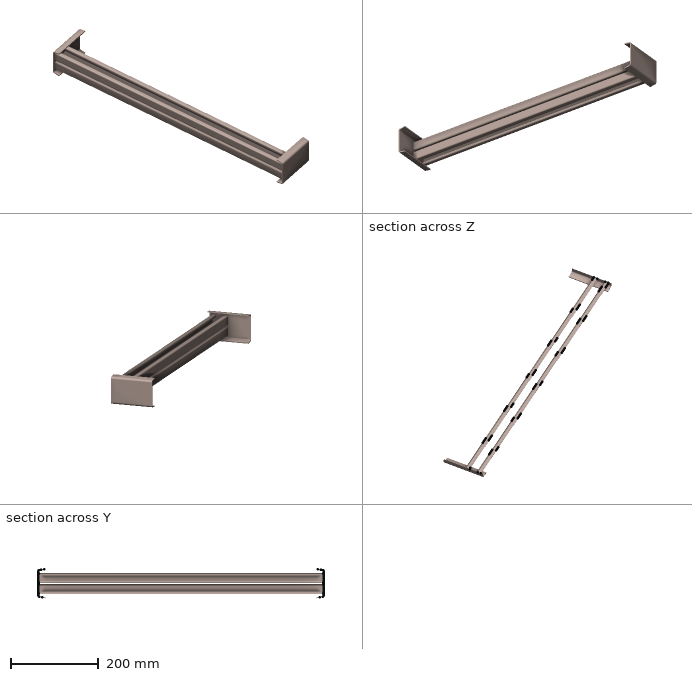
import cadquery as cq
import math

OVERALL_LENGTH = 654.0
OVERALL_HEIGHT = 68.0

BRACKET_WIDTH = 100.0
BRACKET_SHEET = 2.5
BRACKET_BEND = 5.0
BRACKET_REACH = 18.0
FLANGE_SPLAY = math.radians(9)

RAIL_LENGTH = OVERALL_LENGTH - 2 * BRACKET_SHEET
RAIL_WIDTH = 40.0
RAIL_DEPTH = 22.5
RAIL_SHEET = 2.0
RAIL_SLOT = 18.0
RAIL_LIP = 5.5
WEB_BEND = 4.0
LIP_BEND = 3.0

WEB_GAP = 3.0
RAIL_EDGE_GAP = 5.0
RAIL_CENTRE_Y = -BRACKET_WIDTH / 2 + RAIL_EDGE_GAP + RAIL_WIDTH / 2


def round_edge(body, point, radius):
    """Round the edge of the body whose middle is nearest to the point."""
    return body.edges(cq.selectors.NearestToPointSelector(point)).fillet(radius)


def make_upper_rail():
    """C channel above the middle plane, with its web at the bottom and its slot at the top."""
    web_bottom = WEB_GAP / 2
    web_top = web_bottom + RAIL_SHEET
    rim_top = web_bottom + RAIL_DEPTH
    rim_bottom = rim_top - RAIL_SHEET
    lip_end = rim_top - RAIL_LIP
    wall_outside = RAIL_WIDTH / 2
    wall_inside = wall_outside - RAIL_SHEET
    lip_near = RAIL_SLOT / 2
    lip_far = lip_near + RAIL_SHEET

    right_half = [
        (wall_outside, web_bottom),
        (wall_outside, rim_top),
        (lip_near, rim_top),
        (lip_near, lip_end),
        (lip_far, lip_end),
        (lip_far, rim_bottom),
        (wall_inside, rim_bottom),
        (wall_inside, web_top),
    ]
    left_half = [(-across, height) for across, height in reversed(right_half)]
    section = cq.Workplane("YZ", origin=(0, RAIL_CENTRE_Y, 0)).polyline(right_half + left_half).close()
    rail = section.extrude(RAIL_LENGTH / 2, both=True)

    bends = [
        (wall_outside, web_bottom, WEB_BEND),
        (wall_inside, web_top, WEB_BEND - RAIL_SHEET),
        (wall_outside, rim_top, LIP_BEND),
        (wall_inside, rim_bottom, LIP_BEND - RAIL_SHEET),
        (lip_near, rim_top, LIP_BEND),
        (lip_far, rim_bottom, LIP_BEND - RAIL_SHEET),
    ]
    for side in (-1, 1):
        for across, height, radius in bends:
            rail = round_edge(rail, (0, RAIL_CENTRE_Y + side * across, height), radius)
    return rail


def make_rail(side):
    """Rail above (side = 1) or below (side = -1) the middle plane, its slot facing away from it."""
    upper_rail = make_upper_rail()
    if side > 0:
        return upper_rail
    return upper_rail.mirror("XY")


def make_bracket(side):
    """Folded bracket closing the -X end (side = -1) or the +X end (side = 1) of the rails."""
    outer_face = OVERALL_LENGTH / 2
    inner_face = outer_face - BRACKET_SHEET
    crest = BRACKET_REACH - BRACKET_SHEET * math.sin(FLANGE_SPLAY)
    crest_top = OVERALL_HEIGHT / 2
    tip_top = crest_top - BRACKET_SHEET * math.cos(FLANGE_SPLAY)
    outer_top = crest_top - crest * math.tan(FLANGE_SPLAY)
    inner_top = tip_top - (BRACKET_REACH - BRACKET_SHEET) * math.tan(FLANGE_SPLAY)

    upper_half = [
        (outer_face, outer_top),
        (outer_face - crest, crest_top),
        (outer_face - BRACKET_REACH, tip_top),
        (inner_face, inner_top),
    ]
    lower_half = [(out, -height) for out, height in reversed(upper_half)]
    points = [(side * out, height) for out, height in upper_half + lower_half]
    bracket = cq.Workplane("XZ").polyline(points).close().extrude(BRACKET_WIDTH / 2, both=True)

    for up in (-1, 1):
        bracket = round_edge(bracket, (side * outer_face, 0, up * outer_top), BRACKET_BEND)
        bracket = round_edge(bracket, (side * inner_face, 0, up * inner_top), BRACKET_BEND - BRACKET_SHEET)
    return bracket


rails = [make_rail(side) for side in (-1, 1)]
brackets = [make_bracket(side) for side in (-1, 1)]

result = cq.Compound.makeCompound([body.val() for body in rails + brackets])